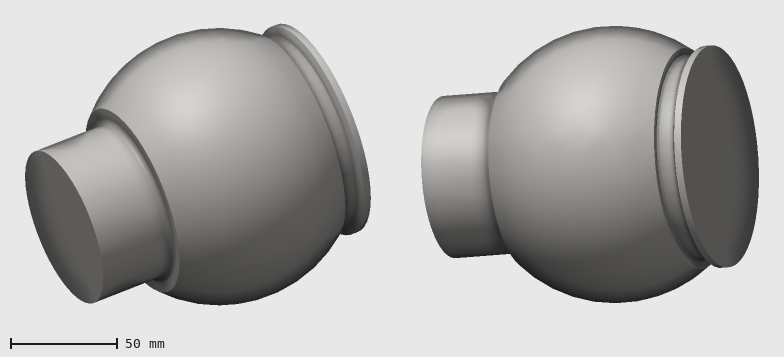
import cadquery as cq
import math

total_length = 135.4
ball_radius = 65.1
ball_center = 52.7
flange_radius = 52.3
flange_rim = 3.4
flange_end = 5.3
neck_radius = 48.0
neck_flare_length = 1.0
neck_flare = 0.7
ball_back = 13.5
ball_front = 98.8
pipe_radius = 38.2
collar_radius = 41.2
collar_end = 101.8


def ball_radius_at(distance):
    """Radius of the ball at a distance from the flange face."""
    return math.sqrt(ball_radius**2 - (distance - ball_center)**2)


flare = collar_radius - pipe_radius
flare_middle = (
    collar_radius - flare * math.sin(math.pi / 4),
    -collar_end + (collar_end - ball_front) * math.sin(math.pi / 4),
)
profile = (
    cq.Workplane("XY")
    .moveTo(0, 0)
    .lineTo(flange_radius, 0)
    .lineTo(flange_radius, -flange_rim)
    .lineTo(neck_radius, -flange_end)
    .lineTo(neck_radius, -(ball_back - neck_flare_length))
    .lineTo(neck_radius + neck_flare, -ball_back)
    .lineTo(ball_radius_at(ball_back), -ball_back)
    .threePointArc((ball_radius, -ball_center), (ball_radius_at(ball_front), -ball_front))
    .lineTo(collar_radius, -ball_front)
    .threePointArc(flare_middle, (pipe_radius, -collar_end))
    .lineTo(pipe_radius, -total_length)
    .lineTo(0, -total_length)
    .close()
)

result = profile.revolve(360, (0, 0), (0, 1)).translate((0, total_length / 2, 0))